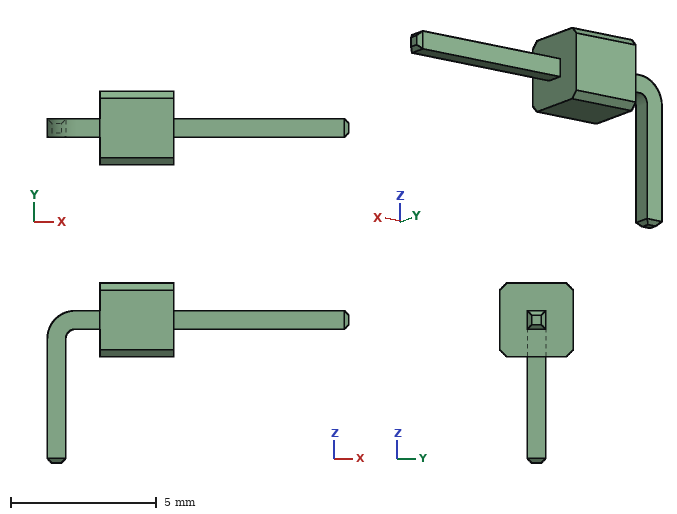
import cadquery as cq

total_length = 10.36
total_height = 6.18

body_size = 2.54
body_start = 1.81
body_chamfer = 0.25

pin_width = 0.64
inner_bend_radius = 0.32
tip_length = 0.16
tip_inset = 0.16

pin_bottom = body_size / 2 - total_height
bend_radius = inner_bend_radius + pin_width / 2
leg_x = pin_width / 2
leg_end = pin_bottom + tip_length
arm_end = total_length - tip_length


def make_body():
    """Chamfered cube centred on the horizontal pin axis."""
    return (
        cq.Workplane("YZ", origin=(body_start, 0, 0))
        .rect(body_size, body_size)
        .extrude(body_size)
        .edges("|X")
        .chamfer(body_chamfer)
    )


def make_bent_pin():
    """Square bar swept up the leg, round the bend and along the arm."""
    path = (
        cq.Workplane("XZ")
        .moveTo(leg_x, leg_end)
        .lineTo(leg_x, -bend_radius)
        .radiusArc((leg_x + bend_radius, 0), bend_radius)
        .lineTo(arm_end, 0)
    )
    return (
        cq.Workplane("XY", origin=(leg_x, 0, leg_end))
        .rect(pin_width, pin_width)
        .sweep(path)
    )


def make_tip(base_plane):
    """Tapered square tip rising from the given plane."""
    end_width = pin_width - 2 * tip_inset
    return (
        cq.Workplane(base_plane)
        .rect(pin_width, pin_width)
        .workplane(offset=tip_length)
        .rect(end_width, end_width)
        .loft(ruled=True)
    )


leg_tip_plane = cq.Plane(origin=(leg_x, 0, leg_end), xDir=(1, 0, 0), normal=(0, 0, -1))
arm_tip_plane = cq.Plane(origin=(arm_end, 0, 0), xDir=(0, 1, 0), normal=(1, 0, 0))

result = (
    make_bent_pin()
    .union(make_tip(leg_tip_plane))
    .union(make_tip(arm_tip_plane))
    .union(make_body())
)